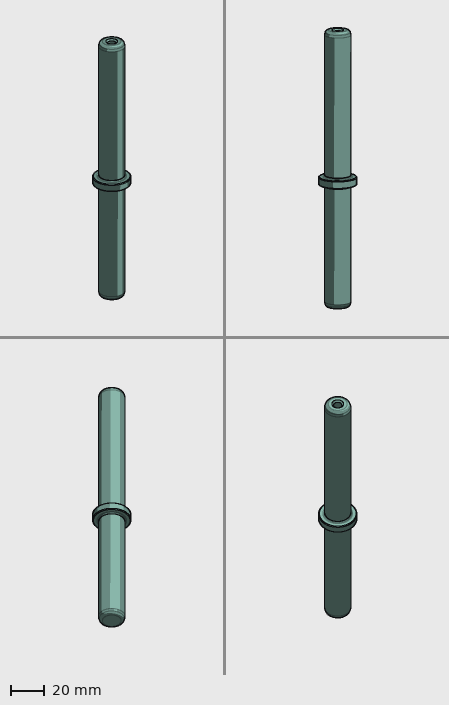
import cadquery as cq
import math

length = 170.0
shaft_radius = 16.0 / 2
collar_radius = 23.0 / 2
collar_bottom = 75.0
collar_width = 5.0
collar_top = collar_bottom + collar_width
collar_chamfer = 0.5

lead_length = 3.0
lead_angle = math.radians(15)
end_round = 2.0

undercut_length = 1.0
undercut_depth = 0.3
undercut_face_depth = 0.2
undercut_rim_radius = 8.8
undercut_slope = 0.3
undercut_round = 0.5

hole_radius = 5.0 / 2
hole_depth = 25.5
countersink_radius = 7.0 / 2
drill_point_angle = math.radians(118)

round_height = end_round * (1 - math.sin(lead_angle))
taper_radius = shaft_radius - (lead_length - round_height) * math.tan(lead_angle)
flat_radius = taper_radius - end_round * math.cos(lead_angle)
mid_angle = (lead_angle + math.pi / 2) / 2
round_mid_radius = flat_radius + end_round * math.cos(mid_angle)
round_mid_height = end_round * (1 - math.sin(mid_angle))


def make_undercut(face, outward):
    """Ring cut at a collar face; outward is +1 above the collar, -1 below."""
    root_radius = shaft_radius - undercut_depth
    start = face + outward * undercut_length
    floor = face - outward * undercut_face_depth
    round_center = (root_radius + undercut_round, floor + outward * undercut_round)
    round_offset = undercut_round * math.sqrt(0.5)
    round_middle = (round_center[0] - round_offset, round_center[1] - outward * round_offset)
    outline = (
        cq.Workplane("XZ")
        .moveTo(shaft_radius, start)
        .lineTo(root_radius, start - outward * undercut_slope)
        .lineTo(root_radius, round_center[1])
        .threePointArc(round_middle, (round_center[0], floor))
        .lineTo(undercut_rim_radius, face)
        .lineTo(undercut_rim_radius, start)
        .close()
    )
    return outline.revolve(360, (0, 0, 0), (0, 1, 0))


def make_body():
    """Revolve the half profile of the pin about Z."""
    profile = (
        cq.Workplane("XZ")
        .lineTo(flat_radius, 0)
        .threePointArc((round_mid_radius, round_mid_height), (taper_radius, round_height))
        .lineTo(shaft_radius, lead_length)
        .lineTo(shaft_radius, collar_bottom)
        .lineTo(collar_radius - collar_chamfer, collar_bottom)
        .lineTo(collar_radius, collar_bottom + collar_chamfer)
        .lineTo(collar_radius, collar_top - collar_chamfer)
        .lineTo(collar_radius - collar_chamfer, collar_top)
        .lineTo(shaft_radius, collar_top)
        .lineTo(shaft_radius, length - lead_length)
        .lineTo(taper_radius, length - round_height)
        .threePointArc((round_mid_radius, length - round_mid_height), (flat_radius, length))
        .lineTo(0, length)
        .close()
    )
    return profile.revolve(360, (0, 0, 0), (0, 1, 0))


def make_hole():
    """Countersunk blind hole with a conical drill point."""
    countersink_depth = countersink_radius - hole_radius
    point_depth = hole_radius / math.tan(drill_point_angle / 2)
    outline = [
        (0, length),
        (countersink_radius, length),
        (hole_radius, length - countersink_depth),
        (hole_radius, length - hole_depth),
        (0, length - hole_depth - point_depth),
    ]
    return cq.Workplane("XZ").polyline(outline).close().revolve(360, (0, 0, 0), (0, 1, 0))


result = (
    make_body()
    .cut(make_undercut(collar_bottom, -1))
    .cut(make_undercut(collar_top, 1))
    .cut(make_hole())
)